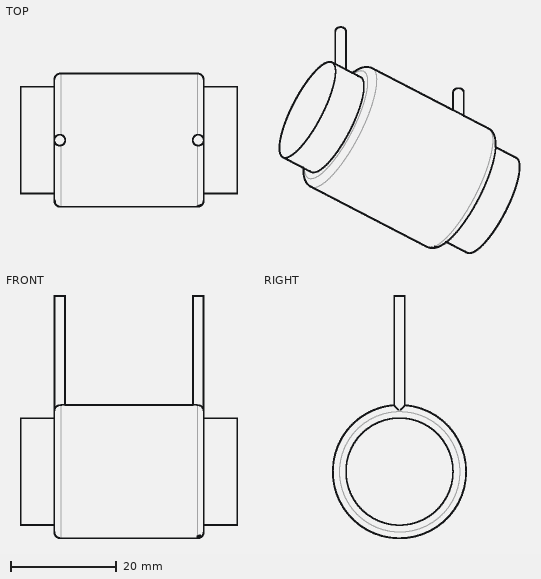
import cadquery as cq

core_length = 41.15
core_diameter = 20.38
winding_length = 28.45
winding_diameter = 25.4
winding_edge_radius = 1.25
lead_diameter = 2.07
lead_inset = 0.025
total_height = 46.1

lead_top = total_height - winding_diameter / 2
lead_offset = (winding_length - lead_diameter) / 2 - lead_inset


def cylinder_along_x(length, diameter):
    """Solid cylinder on the X axis, centred on the origin."""
    return cq.Workplane("YZ", origin=(-length / 2, 0, 0)).circle(diameter / 2).extrude(length)


def make_lead(x):
    """Straight wire rising from the coil axis."""
    return cq.Workplane("XY").center(x, 0).circle(lead_diameter / 2).extrude(lead_top)


core = cylinder_along_x(core_length, core_diameter)
winding = cylinder_along_x(winding_length, winding_diameter).edges("%CIRCLE").fillet(winding_edge_radius)

result = winding.union(core)
for side in (-1, 1):
    result = result.union(make_lead(side * lead_offset))